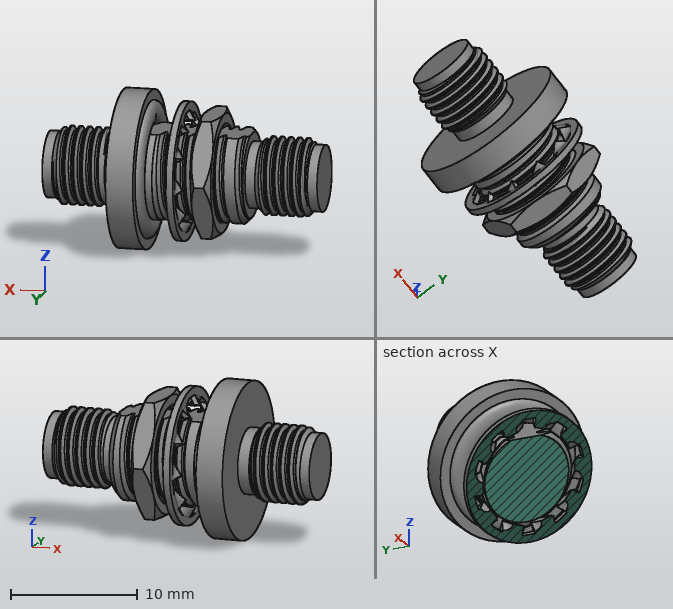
import cadquery as cq
import math


total_length = 22.23

end_radius = 2.66
end_crest_radius = 3.13
end_root_radius = 2.77
end_pitch = 25.4 / 36
end_thread_length = 4.25
end_tip_length = 0.78
left_thread_start = end_tip_length
right_thread_start = total_length - end_tip_length - end_thread_length
end_groove_start_angle = 128
right_thread_turn = 75
groove_overrun = 0.35

shank_start = 5.82
shank_crest_radius = 3.93
shank_root_radius = 3.50
shank_tip_radius = 3.45
shank_pitch = 25.4 / 32
shank_groove_end_x = 12.70
shank_groove_end_angle = 154
shank_groove_turns = 9.3
shank_seam_turn = 90
collar_start = 13.06
collar_radius = 3.97
flat_height = 3.34

crest_flat = 0.12
flank_half_angle = 30
cutter_clearance = 0.05

flange_start = 14.06
flange_end = 16.26
flange_radius = 6.35
ring_front = 13.53
ring_inner_radius = 3.60
ring_outer_radius = 5.50

nut_start = 8.12
nut_thickness = 1.63
nut_across_flats = 9.5
nut_bore_radius = 3.94
nut_chamfer_angle = 30

washer_start = 11.02
washer_thickness = 0.55
washer_outer_radius = 5.53
washer_inner_radius = 4.85
tooth_count = 10
tooth_width = 1.88
tooth_twist = -33
tooth_root_radius = 5.10
tooth_twist_radius = 4.78
tooth_tip_radius = 4.00


def cylinder(start, end, radius):
    """Cylinder about the X axis."""
    return cq.Workplane("YZ", origin=(start, 0, 0)).circle(radius).extrude(end - start)


def thread_groove(pitch, crest_radius, root_radius, start_x, start_angle, turns):
    """Right-handed helical groove cutter starting at the given place on the axis."""
    slope = math.tan(math.radians(flank_half_angle))
    cutter_radius = crest_radius + cutter_clearance
    half_outer = (pitch - crest_flat) / 2 + cutter_clearance * slope
    half_root = (pitch - crest_flat) / 2 - (crest_radius - root_radius) * slope
    section = (
        cq.Workplane("XZ")
        .polyline([
            (root_radius, -half_root),
            (cutter_radius, -half_outer),
            (cutter_radius, half_outer),
            (root_radius, half_root),
        ])
        .close()
    )
    helix = cq.Wire.makeHelix(pitch, turns * pitch, root_radius)
    cutter = section.sweep(cq.Workplane(helix), isFrenet=True)
    cutter = cutter.rotate((0, 0, 0), (0, 1, 0), 90)
    cutter = cutter.rotate((0, 0, 0), (1, 0, 0), 90 + start_angle)
    return cutter.translate((start_x, 0, 0))


def threaded_end(thread_start, turn_angle):
    """Threaded length of an interface end, chamfered down to the plain barrel."""
    blank = cylinder(0, end_thread_length, end_crest_radius)
    blank = blank.faces("<X or >X").chamfer(end_crest_radius - end_radius)
    groove = thread_groove(
        end_pitch,
        end_crest_radius,
        end_root_radius,
        -groove_overrun,
        end_groove_start_angle,
        (end_thread_length + 2 * groove_overrun) / end_pitch,
    )
    thread = blank.cut(groove).rotate((0, 0, 0), (1, 0, 0), turn_angle)
    return thread.translate((thread_start, 0, 0))


def panel_shank():
    """Large threaded shank and collar, with one flat along its top."""
    shank = cylinder(shank_start, flange_start, shank_crest_radius)
    shank = shank.rotate((0, 0, 0), (1, 0, 0), shank_seam_turn)
    shank = shank.faces("<X").chamfer(shank_crest_radius - shank_tip_radius)
    collar = cylinder(collar_start, flange_start, collar_radius)
    collar = collar.rotate((0, 0, 0), (1, 0, 0), shank_seam_turn)
    groove = thread_groove(
        shank_pitch,
        shank_crest_radius,
        shank_root_radius,
        shank_groove_end_x - shank_groove_turns * shank_pitch,
        shank_groove_end_angle - 360 * shank_groove_turns,
        shank_groove_turns,
    )
    above_flat = cq.Workplane("XY", origin=(shank_start, 0, flat_height)).box(
        flange_start - shank_start, 2 * collar_radius, collar_radius, centered=(False, True, False)
    )
    return shank.union(collar).cut(above_flat).cut(groove)


def sealing_ring():
    """Rounded ring standing out of the mounting face of the flange."""
    half_width = (ring_outer_radius - ring_inner_radius) / 2
    middle_radius = ring_inner_radius + half_width
    return (
        cq.Workplane("XY", origin=(flange_start, middle_radius, 0))
        .ellipse(flange_start - ring_front, half_width)
        .revolve(360, (0, -middle_radius, 0), (1, -middle_radius, 0))
    )


def make_connector():
    """Barrel, threaded ends, panel shank, flange and sealing ring as one solid."""
    barrel = cylinder(0, total_length, end_radius)
    flange = cylinder(flange_start, flange_end, flange_radius)
    return (
        barrel
        .union(threaded_end(left_thread_start, 0))
        .union(threaded_end(right_thread_start, right_thread_turn))
        .union(flange)
        .union(panel_shank())
        .union(sealing_ring())
    )


def make_nut():
    """Hex nut with flats facing up and down and both faces chamfered."""
    corner_radius = nut_across_flats / math.sqrt(3)
    face_radius = nut_across_flats / 2
    chamfer_depth = (corner_radius - face_radius) * math.tan(math.radians(nut_chamfer_angle))
    nut_end = nut_start + nut_thickness
    hexagon = (
        cq.Workplane("YZ", origin=(nut_start, 0, 0))
        .polygon(6, 2 * corner_radius)
        .extrude(nut_thickness)
    )
    envelope = (
        cq.Workplane("XY")
        .polyline([
            (nut_start, 0),
            (nut_start, face_radius),
            (nut_start + chamfer_depth, corner_radius),
            (nut_end - chamfer_depth, corner_radius),
            (nut_end, face_radius),
            (nut_end, 0),
        ])
        .close()
        .revolve(360, (0, 0, 0), (1, 0, 0))
    )
    return hexagon.intersect(envelope).cut(cylinder(nut_start, nut_end, nut_bore_radius))


def washer_tooth():
    """Tooth pointing inward along +Y: a flat root set in the ring, then a twisted tip."""
    middle_x = washer_start + washer_thickness / 2
    twist_plane = cq.Plane(origin=(middle_x, tooth_twist_radius, 0), xDir=(0, 0, 1), normal=(0, -1, 0))
    root = (
        cq.Workplane(twist_plane)
        .rect(tooth_width, washer_thickness)
        .extrude(tooth_twist_radius - tooth_root_radius)
    )
    tip = (
        cq.Workplane(twist_plane)
        .rect(tooth_width, washer_thickness)
        .workplane(offset=tooth_twist_radius - tooth_tip_radius)
        .transformed(rotate=(0, 0, tooth_twist))
        .rect(tooth_width, washer_thickness)
        .loft(ruled=True)
    )
    return root.union(tip)


def make_washer():
    """Flat ring with twisted teeth around its bore."""
    washer_end = washer_start + washer_thickness
    washer = cylinder(washer_start, washer_end, washer_outer_radius)
    washer = washer.cut(cylinder(washer_start, washer_end, washer_inner_radius))
    for index in range(tooth_count):
        tooth = washer_tooth().rotate((0, 0, 0), (1, 0, 0), index * 360 / tooth_count)
        washer = washer.union(tooth)
    return washer


connector = make_connector()
nut = make_nut()
washer = make_washer()
result = cq.Compound.makeCompound([connector.val(), nut.val(), washer.val()])